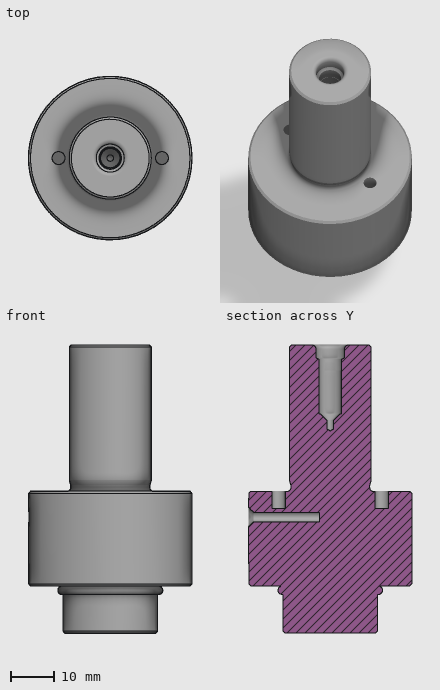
import cadquery as cq
import math

total_height = 67.0
spigot_height = 11.0
flange_height = 22.0
flange_top = spigot_height + flange_height

spigot_diameter = 22.0
flange_diameter = 38.0
shank_diameter = 19.05
edge_chamfer = 0.5

relief_diameter = 18.45
relief_fillet = 0.8
relief_height = 2.5
relief_angle = 15.0

ring_section_diameter = 2.0
ring_centre_diameter = 22.4

mouth_rounding = 1.0
recess_diameter = 6.5
recess_depth = 3.0
recess_cone_angle = 120.0
clearance_diameter = 5.2
clearance_depth = 6.0
bore_diameter = 5.0
bore_depth = 16.0
drill_cone_diameter = 4.5
pilot_diameter = 1.5
pilot_length = 2.0
drill_point_angle = 118.0
drill_cone_angle = 90.0

pin_hole_diameter = 3.0
pin_hole_depth = 4.0
pin_hole_spacing = 24.0

side_hole_diameter = 2.11
side_core_diameter = 5.0
side_hole_height = flange_top - 6.0
side_sink_diameter = 4.5
side_sink_angle = 90.0


def cone_height(large_diameter, small_diameter, full_angle):
    """Axial length of a cone between two diameters."""
    return (large_diameter - small_diameter) / 2 / math.tan(math.radians(full_angle / 2))


def turned_body():
    """Spigot with its sealing ring, flange and relieved shank revolved about Z."""
    spigot_radius = spigot_diameter / 2
    flange_radius = flange_diameter / 2
    shank_radius = shank_diameter / 2
    relief_radius = relief_diameter / 2
    ring_centre_radius = ring_centre_diameter / 2
    ring_section_radius = ring_section_diameter / 2
    taper_height = (shank_radius - relief_radius) / math.tan(math.radians(relief_angle))
    arc_offset = relief_fillet * (1 - math.sqrt(0.5))

    profile = (
        cq.Workplane("XZ")
        .lineTo(spigot_radius - edge_chamfer, 0)
        .lineTo(spigot_radius, edge_chamfer)
        .lineTo(spigot_radius, spigot_height - ring_section_diameter)
        .lineTo(ring_centre_radius, spigot_height - ring_section_diameter)
        .threePointArc(
            (ring_centre_radius + ring_section_radius, spigot_height - ring_section_radius),
            (ring_centre_radius, spigot_height),
        )
        .lineTo(flange_radius - edge_chamfer, spigot_height)
        .lineTo(flange_radius, spigot_height + edge_chamfer)
        .lineTo(flange_radius, flange_top - edge_chamfer)
        .lineTo(flange_radius - edge_chamfer, flange_top)
        .lineTo(relief_radius + relief_fillet, flange_top)
        .threePointArc(
            (relief_radius + arc_offset, flange_top + arc_offset),
            (relief_radius, flange_top + relief_fillet),
        )
        .lineTo(relief_radius, flange_top + relief_height - taper_height)
        .lineTo(shank_radius, flange_top + relief_height)
        .lineTo(shank_radius, total_height - edge_chamfer)
        .lineTo(shank_radius - edge_chamfer, total_height)
        .lineTo(0, total_height)
        .close()
    )
    return profile.revolve(360, (0, 0, 0), (0, 1, 0))


def shank_bore():
    """Cutter for the round-mouthed stepped bore, down to its drilled tip."""
    recess_radius = recess_diameter / 2
    clearance_radius = clearance_diameter / 2
    bore_radius = bore_diameter / 2
    pilot_radius = pilot_diameter / 2
    recess_bottom = total_height - recess_depth
    recess_cone = cone_height(recess_diameter, clearance_diameter, recess_cone_angle)
    clearance_bottom = total_height - clearance_depth
    bore_bottom = total_height - bore_depth
    pilot_top = bore_bottom - cone_height(drill_cone_diameter, pilot_diameter, drill_cone_angle)
    pilot_bottom = pilot_top - pilot_length
    tip = pilot_bottom - cone_height(pilot_diameter, 0, drill_point_angle)
    arc_offset = mouth_rounding * (1 - math.sqrt(0.5))

    profile = (
        cq.Workplane("XZ")
        .moveTo(0, total_height)
        .lineTo(recess_radius + mouth_rounding, total_height)
        .threePointArc(
            (recess_radius + arc_offset, total_height - arc_offset),
            (recess_radius, total_height - mouth_rounding),
        )
        .lineTo(recess_radius, recess_bottom)
        .lineTo(clearance_radius, recess_bottom - recess_cone)
        .lineTo(clearance_radius, clearance_bottom)
        .lineTo(bore_radius, clearance_bottom)
        .lineTo(bore_radius, bore_bottom)
        .lineTo(drill_cone_diameter / 2, bore_bottom)
        .lineTo(pilot_radius, pilot_top)
        .lineTo(pilot_radius, pilot_bottom)
        .lineTo(0, tip)
        .close()
    )
    return profile.revolve(360, (0, 0, 0), (0, 1, 0))


def pin_holes():
    """Cutters for the two blind holes on the X axis of the flange."""
    return (
        cq.Workplane("XY", origin=(0, 0, flange_top))
        .rarray(pin_hole_spacing, 1, 2, 1)
        .circle(pin_hole_diameter / 2)
        .extrude(-pin_hole_depth)
    )


def side_hole():
    """Cutter for the countersunk radial hole, which stops at the central core."""
    surface_x = -flange_diameter / 2
    hole_radius = side_hole_diameter / 2
    sink_depth = cone_height(side_sink_diameter, side_hole_diameter, side_sink_angle)
    profile = (
        cq.Workplane("XZ", origin=(surface_x, 0, side_hole_height))
        .lineTo(0, side_sink_diameter / 2)
        .lineTo(sink_depth, hole_radius)
        .lineTo(-surface_x, hole_radius)
        .lineTo(-surface_x, 0)
        .close()
    )
    drilled = profile.revolve(360, (0, 0, 0), (1, 0, 0))
    core = cq.Workplane("XY").circle(side_core_diameter / 2).extrude(flange_top)
    return drilled.cut(core)


result = (
    turned_body()
    .cut(shank_bore())
    .cut(pin_holes())
    .cut(side_hole())
)